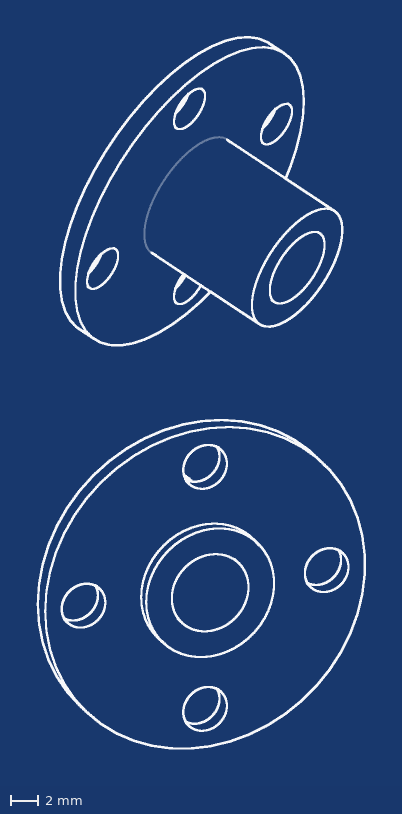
import cadquery as cq

flange_diameter = 25
flange_thickness = 1.5

pilot_diameter = 10
pilot_length = 1
barrel_diameter = 9.9
barrel_length = 10.5
barrel_root_radius = 0.05

bore_diameter = 6
mount_hole_diameter = 3.4
mount_circle_diameter = 19
mount_hole_count = 4

total_length = pilot_length + flange_thickness + barrel_length


def cylinder_along_x(diameter, start, length):
    """Cylinder centred on the X axis, running from start towards +X."""
    return cq.Workplane("YZ", origin=(start, 0, 0)).circle(diameter / 2).extrude(length)


pilot = cylinder_along_x(pilot_diameter, -pilot_length, pilot_length)
flange = cylinder_along_x(flange_diameter, 0, flange_thickness)
barrel = cylinder_along_x(barrel_diameter, flange_thickness, barrel_length)
body = flange.union(pilot).union(barrel)

flange_back_face = body.faces(cq.selectors.NearestToPointSelector((flange_thickness, 0, 0)))
barrel_root = flange_back_face.edges(cq.selectors.RadiusNthSelector(0))
body = barrel_root.fillet(barrel_root_radius)

mount_holes = (
    cq.Workplane("YZ")
    .polarArray(mount_circle_diameter / 2, 0, 360, mount_hole_count)
    .circle(mount_hole_diameter / 2)
    .extrude(flange_thickness)
)
bore = cylinder_along_x(bore_diameter, -pilot_length, total_length)

result = body.cut(mount_holes).cut(bore)